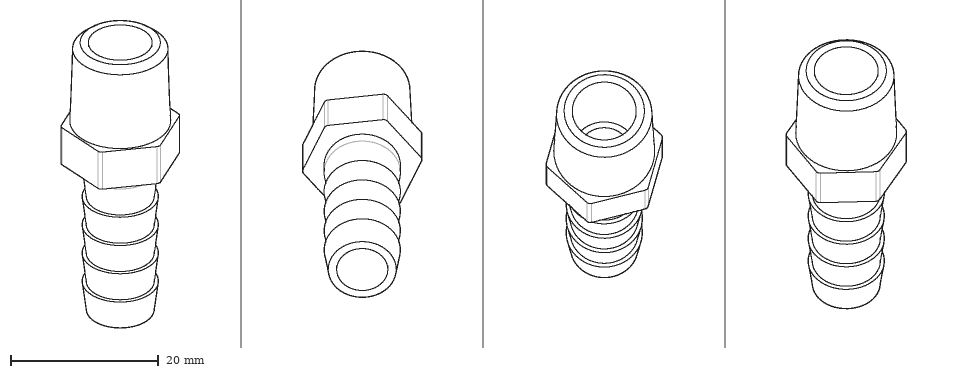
import cadquery as cq

total_length = 43.3
hex_across_flats = 14.3
hex_height = 6.0
hex_corner_radius = 0.65

barb_count = 5
barb_pitch = 4.6
barb_large_radius = 10.35 / 2
barb_small_radius = 9.2 / 2
collar_height = 1.65

spigot_base_radius = 13.68 / 2
spigot_top_radius = 12.95 / 2
spigot_chamfer_height = 0.95
end_face_radius = 10.85 / 2

bore_diameter = 6.92
wide_bore_diameter = 8.65

collar_bottom = barb_count * barb_pitch
hex_bottom = collar_bottom + collar_height
hex_top = hex_bottom + hex_height
chamfer_bottom = total_length - spigot_chamfer_height
wide_bore_depth = total_length - hex_top


def revolved_body():
    """Turned outline: barbs, collar and tapered spigot, revolved about Z."""
    outline = cq.Workplane("XZ")
    for barb in range(barb_count):
        bottom = barb * barb_pitch
        outline = outline.lineTo(barb_small_radius, bottom)
        outline = outline.lineTo(barb_large_radius, bottom + barb_pitch)
    return (
        outline.lineTo(barb_large_radius, hex_top)
        .lineTo(spigot_base_radius, hex_top)
        .lineTo(spigot_top_radius, chamfer_bottom)
        .lineTo(end_face_radius, total_length)
        .lineTo(0, total_length)
        .close()
        .revolve(360, (0, 0, 0), (0, 1, 0))
    )


def hexagon():
    """Wrench hexagon with flats facing +X and -X and rounded corners."""
    return (
        cq.Workplane("XY", origin=(0, 0, hex_bottom))
        .polygon(6, hex_across_flats, circumscribed=True)
        .extrude(hex_height)
        .edges("|Z")
        .fillet(hex_corner_radius)
    )


def stepped_bore(body):
    """Cut the through passage and the wider bore from the spigot end."""
    return (
        body.faces(">Z")
        .workplane(origin=(0, 0, total_length))
        .cboreHole(bore_diameter, wide_bore_diameter, wide_bore_depth)
    )


result = stepped_bore(revolved_body().union(hexagon()))